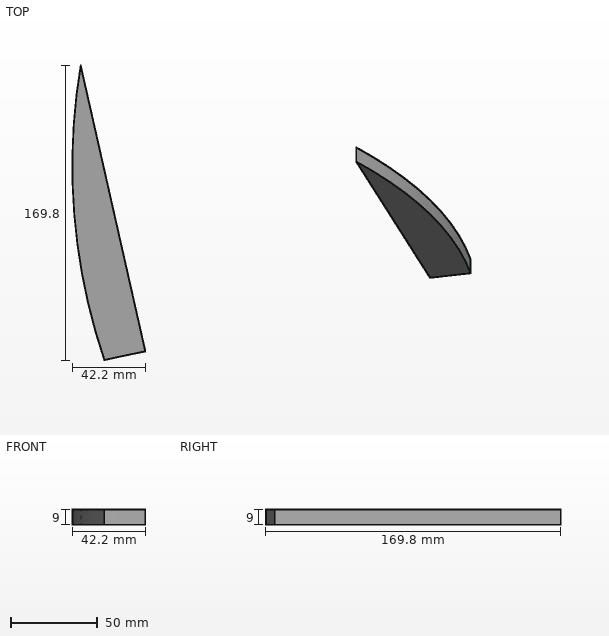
import cadquery as cq
import math

straight_length = 168.97
heel_width = 24.2
heel_rise = 0.34
thickness = 9.0
edge_radius = 347.0
heel_radius = 1100.0
lean_angle = 12.75

heel_corner = (0, 0)
tip = (0, straight_length)
heel_end = (-heel_width, heel_rise)


def arc_middle(start, end, radius):
    """Middle of the minor arc that bows to the right of the path start -> end."""
    dx = end[0] - start[0]
    dy = end[1] - start[1]
    chord = math.hypot(dx, dy)
    sagitta = radius - math.sqrt(radius**2 - (chord / 2) ** 2)
    mid_x = (start[0] + end[0]) / 2
    mid_y = (start[1] + end[1]) / 2
    return (mid_x + sagitta * dy / chord, mid_y - sagitta * dx / chord)


def make_blade():
    """Flat pointed blade: straight back, convex edge and slightly hollow heel."""
    edge_middle = arc_middle(tip, heel_end, edge_radius)
    heel_middle = arc_middle(heel_corner, heel_end, heel_radius)
    outline = (
        cq.Workplane("XY")
        .moveTo(*heel_corner)
        .lineTo(*tip)
        .threePointArc(edge_middle, heel_end)
        .threePointArc(heel_middle, heel_corner)
        .close()
    )
    return outline.extrude(thickness)


result = make_blade().rotate((0, 0, 0), (0, 0, 1), lean_angle)